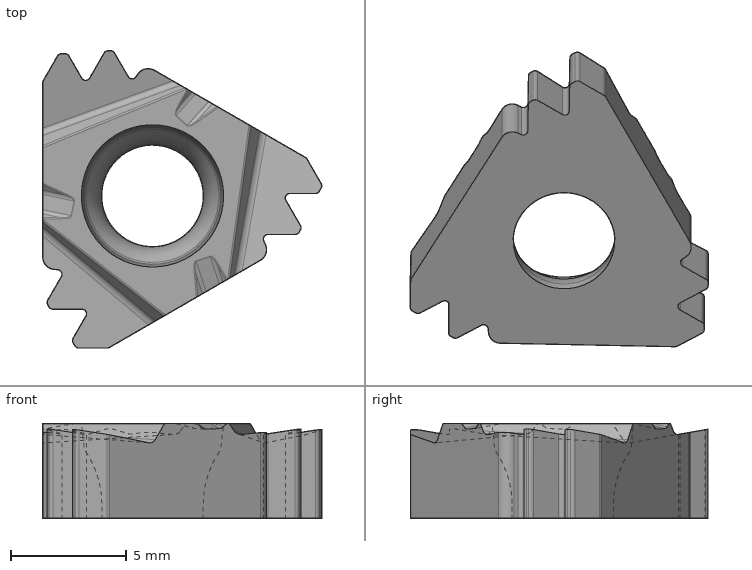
import cadquery as cq
import math

thickness = 4.11
inscribed_radius = 4.75
corner_angles = (0, 120, 240)
oversize = 7.73

flank_angle = 60.0
pitch = 2.0
first_tooth_x = -3.87
first_apex_y = 6.5
first_tip_y = 6.16
second_apex_y = 6.59
second_tip_y = 6.29
shoulder_angle = 54.0
shoulder_point = (-0.66, 5.25)
shoulder_edge_radius = 0.2
tip_radius = 0.2
root_radius = 0.19
crest_radius = 0.54

rake_tilt = 10.0
rake_heading = 20.3
rake_wall_angle = 67.5
rake_back_y = 4.46
rake_back_depth = 0.57
rake_fillet = 0.3
rake_rim_spot = (-1.68, 3.44)

notch_end = (-3.45, -0.54)
notch_heading = 12.0
notch_tilt = 10.0
notch_floor_width = 0.65
notch_wall_angle = 38.0
notch_fillet = 0.3
notch_wall_height = 1.29
notch_rim_spot = (-4.33, -0.97)

rim_radius = 0.1

bore_radius = 4.4 / 2
rim_bore_radius = 3.08
neck_radius = 2.96
neck_depth = 1.03
seat_arc_radius = 4.0
seat_sweep = 34.0
seat_end_depth = 3.48
neck_arc_radius = 0.58


def tip_points(apex_x, apex_y, tip_y):
    half_width = (apex_y - tip_y) / math.tan(math.radians(flank_angle))
    return (apex_x - half_width, tip_y), (apex_x + half_width, tip_y)


def corner_outline():
    """Points of one toothed corner, each with its rounding radius."""
    slope = math.tan(math.radians(flank_angle))
    second_tooth_x = first_tooth_x + pitch
    first_left, first_right = tip_points(first_tooth_x, first_apex_y, first_tip_y)
    second_left, second_right = tip_points(second_tooth_x, second_apex_y, second_tip_y)

    side_x = -inscribed_radius
    side_end = (side_x, first_apex_y - slope * (first_tooth_x - side_x))
    root_x = (first_tooth_x + second_tooth_x) / 2 + (first_apex_y - second_apex_y) / (2 * slope)
    root = (root_x, first_apex_y - slope * (root_x - first_tooth_x))
    rise = math.tan(math.radians(shoulder_angle))
    rise_start = shoulder_point[1] - rise * shoulder_point[0]
    shoulder_x = (second_apex_y + slope * second_tooth_x - rise_start) / (rise + slope)
    shoulder_root = (shoulder_x, rise_start + rise * shoulder_x)
    sin30 = math.sin(math.radians(30))
    cos30 = math.cos(math.radians(30))
    crest_x = (inscribed_radius - rise_start * cos30) / (sin30 + rise * cos30)
    crest = (crest_x, rise_start + rise * crest_x)
    return [
        (side_end, shoulder_edge_radius),
        (first_left, tip_radius),
        (first_right, tip_radius),
        (root, root_radius),
        (second_left, tip_radius),
        (second_right, tip_radius),
        (shoulder_root, root_radius),
        (crest, crest_radius),
    ]


def turned(point, degrees):
    angle = math.radians(degrees)
    x, y = point
    return (
        x * math.cos(angle) - y * math.sin(angle),
        x * math.sin(angle) + y * math.cos(angle),
    )


def make_blank():
    outline = [
        (turned(point, -angle), radius)
        for angle in corner_angles
        for point, radius in corner_outline()
    ]
    blank = cq.Workplane("XY").polyline([point for point, _ in outline]).close().extrude(thickness)
    for (x, y), radius in outline:
        blank = blank.edges(cq.NearestToPointSelector((x, y, thickness / 2))).fillet(radius)
    return blank


def rake_cutter():
    """Space above the rake face of the corner toward +Y."""
    height = oversize / 2
    lean = height / math.tan(math.radians(rake_wall_angle))
    return (
        cq.Workplane("YZ")
        .polyline([(0, 0), (oversize, 0), (oversize, height), (-lean, height)])
        .close()
        .extrude(oversize, both=True)
        .edges(cq.NearestToPointSelector((0, 0, 0)))
        .fillet(rake_fillet)
        .rotate((0, 0, 0), (0, 0, 1), rake_heading)
        .rotate((0, 0, 0), (1, 0, 0), rake_tilt)
        .translate((0, rake_back_y, thickness - rake_back_depth))
    )


def notch_cutter():
    """Space above the floor of the notch in the -X side."""
    wall_run = notch_wall_height / math.tan(math.radians(notch_wall_angle))
    fillet_run = notch_fillet * math.tan(math.radians(notch_wall_angle / 2))
    half_floor = notch_floor_width / 2 + fillet_run
    half_top = half_floor + wall_run
    return (
        cq.Workplane("YZ")
        .polyline([
            (-half_floor, 0),
            (half_floor, 0),
            (half_top, notch_wall_height),
            (-half_top, notch_wall_height),
        ])
        .close()
        .extrude(oversize / 2, both=True)
        .edges("|X and <Z")
        .fillet(notch_fillet)
        .rotate((0, 0, 0), (0, 1, 0), -notch_tilt)
        .rotate((0, 0, 0), (0, 0, 1), -notch_heading)
        .translate((*notch_end, thickness))
    )


def screw_hole():
    def seat_point(degrees):
        angle = math.radians(degrees)
        return (
            bore_radius + seat_arc_radius * (1 - math.cos(angle)),
            thickness - seat_end_depth + seat_arc_radius * math.sin(angle),
        )

    return (
        cq.Workplane("XZ")
        .polyline([(0, thickness), (0, 0), (bore_radius, 0), seat_point(0)])
        .threePointArc(seat_point(seat_sweep / 2), seat_point(seat_sweep))
        .radiusArc((neck_radius, thickness - neck_depth), -neck_arc_radius)
        .lineTo(rim_bore_radius, thickness)
        .close()
        .revolve(360, (0, 0, 0), (0, 1, 0))
    )


def cut_with_rounded_rims(body, cutter, rim_spot):
    """Cut the same recess at all three corners, then round its edge with the top face."""
    for angle in corner_angles:
        body = body.cut(cutter.rotate((0, 0, 0), (0, 0, 1), angle))
    for angle in corner_angles:
        spot = (*turned(rim_spot, angle), thickness)
        body = body.edges(cq.NearestToPointSelector(spot)).fillet(rim_radius)
    return body


result = make_blank()
result = cut_with_rounded_rims(result, rake_cutter(), rake_rim_spot)
result = cut_with_rounded_rims(result, notch_cutter(), notch_rim_spot)
result = result.cut(screw_hole())